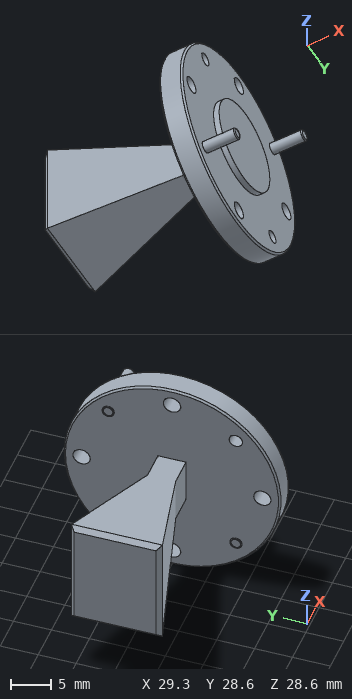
import cadquery as cq
import math

flange_diameter = 28.57
flange_thickness = 3.3
flange_chamfer = 0.25

boss_diameter = 12.7
boss_height = 0.8

hole_circle_radius = 23.81 / 2
screw_hole_diameter = 2.26
screw_angles = [0, 90, 180, 270]
open_pin_hole_diameter = 1.75
open_pin_hole_angles = [135, 315]

pin_diameter = 1.56
pin_length = 7.92
pin_chamfer = 0.15
pin_angles = [45, 225]

overall_length = 29.27
horn_length = overall_length - pin_length
neck_width = 3.7
neck_height = 6.1
neck_length = 3.87
mouth_width = 12.0
mouth_height = 15.0
bevel_length = 0.65
bevel_inset = 0.6
flare_length = horn_length - neck_length - bevel_length


def disc(diameter, start_x, length):
    """Cylinder on the X axis, running from start_x toward +X."""
    return cq.Workplane("YZ").workplane(offset=start_x).circle(diameter / 2).extrude(length)


def on_hole_circle(angles):
    """(Y, Z) points on the hole circle, with angles measured from +Y toward +Z."""
    return [
        (
            hole_circle_radius * math.cos(math.radians(angle)),
            hole_circle_radius * math.sin(math.radians(angle)),
        )
        for angle in angles
    ]


def drill(diameter, angles):
    """Cutting cylinders through the flange at the given angles."""
    return (
        cq.Workplane("YZ")
        .pushPoints(on_hole_circle(angles))
        .circle(diameter / 2)
        .extrude(flange_thickness)
    )


def taper(start_x, start_size, length, end_size):
    """Rectangular frustum along -X; each size is (Y width, Z height)."""
    return (
        cq.Workplane("YZ")
        .workplane(offset=start_x)
        .rect(*start_size)
        .workplane(offset=-length)
        .rect(*end_size)
        .loft(ruled=True, combine=True)
    )


def make_flange():
    flange = disc(flange_diameter, 0, flange_thickness).edges().chamfer(flange_chamfer)
    flange = flange.union(disc(boss_diameter, flange_thickness, boss_height))
    flange = flange.cut(drill(screw_hole_diameter, screw_angles))
    flange = flange.cut(drill(open_pin_hole_diameter, open_pin_hole_angles))
    return flange.cut(drill(pin_diameter, pin_angles))


def make_horn():
    neck_size = (neck_width, neck_height)
    mouth_size = (mouth_width, mouth_height)
    face_size = (mouth_width - 2 * bevel_inset, mouth_height - 2 * bevel_inset)
    neck = cq.Workplane("YZ").rect(*neck_size).extrude(-neck_length)
    flare = taper(-neck_length, neck_size, flare_length, mouth_size)
    front_end = taper(-neck_length - flare_length, mouth_size, bevel_length, face_size)
    return neck.union(flare).union(front_end)


def make_pin(y, z):
    pin = disc(pin_diameter, 0, pin_length).edges().chamfer(pin_chamfer)
    return pin.translate((0, y, z))


antenna = make_flange().union(make_horn())
pins = [make_pin(y, z) for y, z in on_hole_circle(pin_angles)]

result = cq.Compound.makeCompound([antenna.val(), *[pin.val() for pin in pins]])